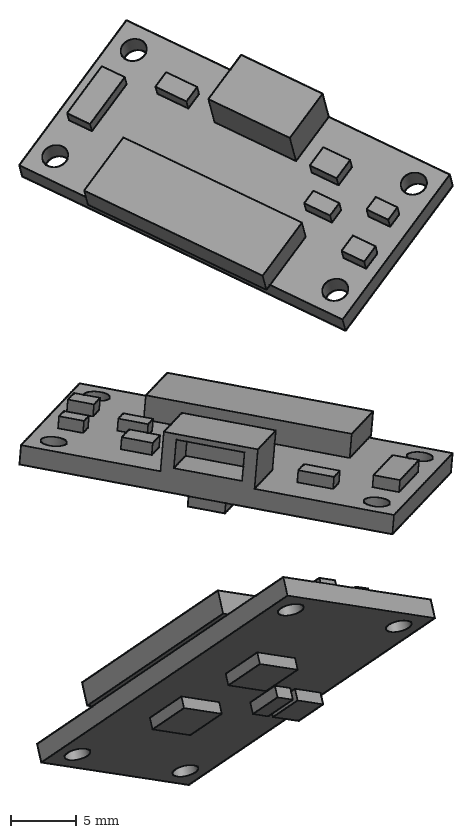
import cadquery as cq

BOARD_LENGTH = 30.0
BOARD_DEPTH = 15.0
BOARD_THICKNESS = 1.6
TILT_DEGREES = 15.0

HOLE_DIAMETER = 2.0
HOLE_INSET = 2.0

REAR_WIDTH = 7.55
REAR_DEPTH = 4.6
REAR_HEIGHT = 3.25
SOCKET_WIDTH = 5.5
SOCKET_WALL = 0.45
SOCKET_DEPTH = 3.0

FRONT_WIDTH = 16.55
FRONT_DEPTH = 5.5
FRONT_HEIGHT = 1.98
FRONT_OVERHANG = 0.5

CHIP_HEIGHT = 1.0

UPPER_CHIPS = [
    (-13.85, 2.13, 4.9, 4.85),
    (-9.15, 2.88, 3.0, 1.5),
    (5.43, 2.5, 3.0, 1.9),
    (6.95, 2.4, 6.7, 1.3),
    (11.55, 2.0, 4.9, 1.3),
    (11.95, 2.1, 8.67, 1.6),
]
LOWER_CHIPS = [
    (-1.5, 3.0, 0.35, 2.6),
    (-1.5, 3.0, 3.45, 1.55),
    (-6.0, 3.85, 7.62, 3.85),
    (2.15, 3.85, 6.72, 3.85),
]


def block(left, width, setback, depth, bottom, height):
    """Box placed by its left side, distance from the back edge and bottom."""
    corner = (left, -setback - depth, bottom)
    return cq.Workplane("XY").box(width, depth, height, centered=False).translate(corner)


def centred_block(width, setback, depth, bottom, height):
    return block(-width / 2, width, setback, depth, bottom, height)


def make_board():
    board = centred_block(BOARD_LENGTH, 0, BOARD_DEPTH, -BOARD_THICKNESS, BOARD_THICKNESS)
    hole_x = BOARD_LENGTH / 2 - HOLE_INSET
    hole_ys = (-HOLE_INSET, HOLE_INSET - BOARD_DEPTH)
    centres = [(x, y) for x in (-hole_x, hole_x) for y in hole_ys]
    holes = (
        cq.Workplane("XY")
        .pushPoints(centres)
        .circle(HOLE_DIAMETER / 2)
        .extrude(-BOARD_THICKNESS)
    )
    return board.cut(holes)


def make_rear_connector():
    """Block flush with the back edge, with a socket open to the back."""
    body = centred_block(REAR_WIDTH, 0, REAR_DEPTH, 0, REAR_HEIGHT)
    socket_height = REAR_HEIGHT - 2 * SOCKET_WALL
    socket = centred_block(SOCKET_WIDTH, 0, SOCKET_DEPTH, SOCKET_WALL, socket_height)
    return body.cut(socket)


def make_front_connector():
    """Block that overhangs the front edge."""
    setback = BOARD_DEPTH + FRONT_OVERHANG - FRONT_DEPTH
    return centred_block(FRONT_WIDTH, setback, FRONT_DEPTH, 0, FRONT_HEIGHT)


assembly = make_board().union(make_rear_connector()).union(make_front_connector())
for chip in UPPER_CHIPS:
    assembly = assembly.union(block(*chip, 0, CHIP_HEIGHT))
for chip in LOWER_CHIPS:
    assembly = assembly.union(block(*chip, -BOARD_THICKNESS - CHIP_HEIGHT, CHIP_HEIGHT))

result = assembly.rotate((0, 0, 0), (1, 0, 0), TILT_DEGREES)